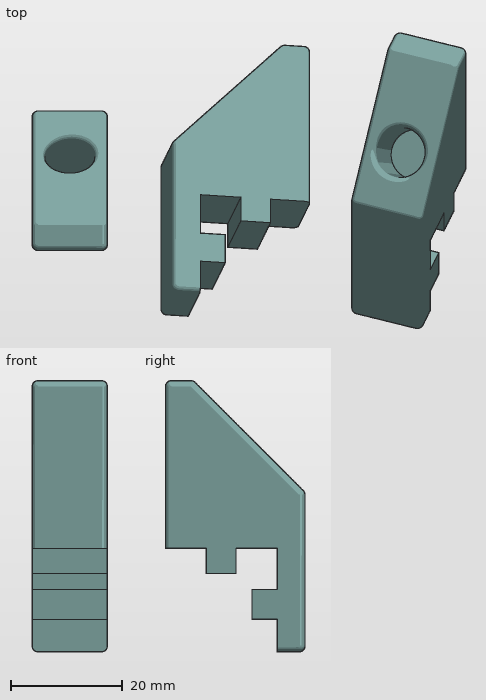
import cadquery as cq

width = 13.5
depth = 25.0
height = 48.5
top_land = 5.0
edge_radius = 1.1

leg_thickness = 5.0
step_height = 18.55

tooth_width = 5.4
tooth_length = 4.5
tooth_offset = 7.3

hole_diameter = 8.9
hole_depth = 12.12
hole_lip_radius = 1.1
hole_from_back = 7.5

slope_run = depth - top_land
leg_front = depth - leg_thickness


def box(y_start, y_end, z_start, z_end):
    """Full-width box between the given Y and Z limits."""
    size_y = y_end - y_start
    size_z = z_end - z_start
    block = cq.Workplane("XY").box(width, size_y, size_z, centered=(True, False, False))
    return block.translate((0, y_start, z_start))


def make_envelope():
    """Block with a sloped upper back and all of its outer edges rounded."""
    outline = [
        (0, 0),
        (depth, 0),
        (depth, height - slope_run),
        (top_land, height),
        (0, height),
    ]
    block = cq.Workplane("YZ").polyline(outline).close().extrude(width / 2, both=True)
    return block.edges().fillet(edge_radius)


def cut_hole(body):
    """Blind hole in the sloped face with a rounded lip."""
    hole_y = depth - hole_from_back
    hole_z = height - (hole_y - top_land)
    slope_plane = cq.Plane(origin=(0, hole_y, hole_z), xDir=(1, 0, 0), normal=(0, 1, 1))
    drilled = body.cut(cq.Workplane(slope_plane).circle(hole_diameter / 2).extrude(-hole_depth))
    rim = drilled.edges(cq.selectors.NearestToPointSelector((0, hole_y, hole_z)))
    return rim.fillet(hole_lip_radius)


def make_teeth():
    """Downward tooth under the body and forward tooth on the leg."""
    body_tooth_back = leg_front - tooth_offset
    leg_tooth_top = step_height - tooth_offset
    body_tooth = box(
        body_tooth_back - tooth_width, body_tooth_back, step_height - tooth_length, step_height
    )
    leg_tooth = box(leg_front - tooth_length, leg_front, leg_tooth_top - tooth_width, leg_tooth_top)
    return body_tooth.union(leg_tooth)


stepped_body = make_envelope().cut(box(0, leg_front, 0, step_height))
result = cut_hole(stepped_body).union(make_teeth())